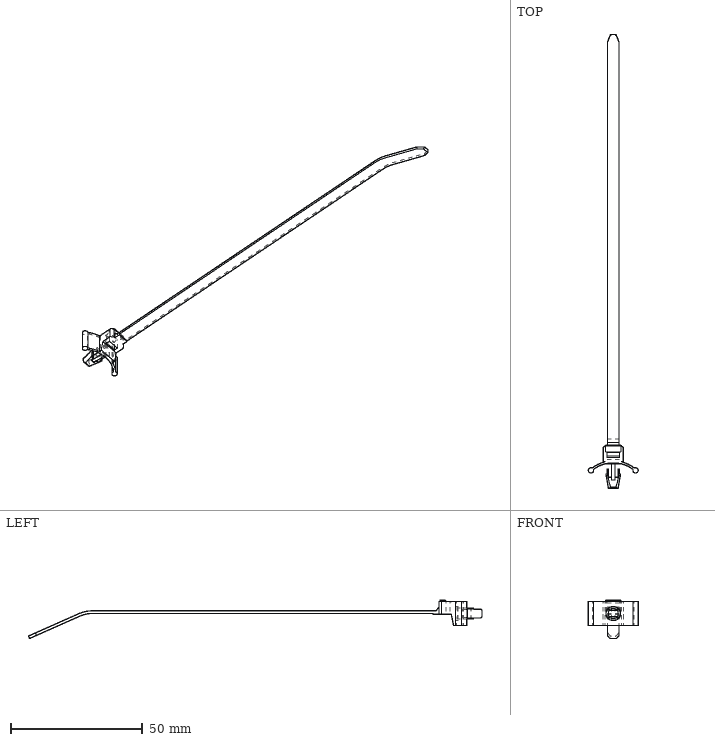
import math

import cadquery as cq


WING_SPAN = 19.05
WING_HEIGHT = 9.2
WING_THICKNESS = 0.8
WING_CURVE_RADIUS = 12.2
BULB_RADIUS = 1.05

HEAD_WIDTH = 7.7
HEAD_BACK = 6.8
HEAD_BOTTOM = -0.3
HEAD_CORNER = 1.1
HEAD_TOP_ROUNDING = 0.5
FOOT_BACK_AT_TOP = 2.1
FOOT_BACK_AT_BOTTOM = 1.2
SLOT_WIDTH = 4.6
SLOT_FRONT = 2.6
SLOT_BACK = 4.0
LEAD_IN = 0.5
RIM_WIDTH = 6.0
RIM_BACK = 6.3
RIM_TOP = 5.1
RIM_ROUNDING = 0.4
RIM_FRONT_ROUNDING = 0.6

STRAP_WIDTH = 4.5
STRAP_THICKNESS = 1.1
STRAP_END = 163.02
BEND_ANGLE = 23.95
BEND_START = 138.6
BEND_LENGTH = 5.2
TIP_TAPER_LENGTH = 3.0
TIP_WIDTH = 2.2
TIP_ROUNDING = 0.6
ROOT_LENGTH = 2.2
ROOT_RISE = 1.4
ROOT_RISE_LENGTH = 1.0

PIN_LENGTH = 9.7
PIN_HEIGHT = 3.4
TIP_CHAMFER = 0.5
NOSE_TIP_RADIUS = 1.9
NOSE_SHOULDER_RADIUS = 2.85
SHOULDER_SETBACK = 5.5
BARB_SETBACK = 7.3
BARB_OUTER = 2.3
BARB_INNER = 1.75
GAP_SETBACK = 4.2
STEM_WIDTH = 1.4
STEM_HEIGHT = 4.2
STEM_SETBACK = 3.2
BOSS_RADIUS = 2.7
BOSS_HEIGHT = 0.45


def box(x_size, y_start, y_end, z_start, z_end):
    """Box centred on X = 0 between the given Y and Z limits."""
    block = cq.Workplane("XY").box(x_size, y_end - y_start, z_end - z_start, centered=(True, False, False))
    return block.translate((0, y_start, z_start))


def make_wings():
    bulb_x = WING_SPAN / 2 - BULB_RADIUS
    middle_radius = WING_CURVE_RADIUS + WING_THICKNESS / 2
    centre_y = -WING_CURVE_RADIUS
    bulb_y = centre_y + math.sqrt(middle_radius**2 - bulb_x**2)
    half_angle = math.asin(bulb_x / middle_radius)

    def arc_point(radius, angle):
        return (radius * math.sin(angle), centre_y + radius * math.cos(angle))

    outer_radius = WING_CURVE_RADIUS + WING_THICKNESS
    wings = (
        cq.Workplane("XY")
        .moveTo(*arc_point(WING_CURVE_RADIUS, -half_angle))
        .threePointArc((0, 0), arc_point(WING_CURVE_RADIUS, half_angle))
        .lineTo(*arc_point(outer_radius, half_angle))
        .threePointArc((0, WING_THICKNESS), arc_point(outer_radius, -half_angle))
        .close()
        .extrude(WING_HEIGHT / 2, both=True)
    )
    bulbs = (
        cq.Workplane("XY")
        .pushPoints([(-bulb_x, bulb_y), (bulb_x, bulb_y)])
        .circle(BULB_RADIUS)
        .extrude(WING_HEIGHT / 2, both=True)
    )
    return wings.union(bulbs)


def make_head():
    head_front = WING_THICKNESS / 2
    head_top = WING_HEIGHT / 2
    body = box(HEAD_WIDTH, head_front, HEAD_BACK, HEAD_BOTTOM, head_top)
    body = body.edges("|Z and >Y").chamfer(HEAD_CORNER)
    body = body.edges("|Y and >Z").fillet(HEAD_TOP_ROUNDING)
    foot_outline = [
        (head_front, -head_top),
        (FOOT_BACK_AT_BOTTOM, -head_top),
        (FOOT_BACK_AT_TOP, HEAD_BOTTOM),
        (head_front, HEAD_BOTTOM),
    ]
    foot = cq.Workplane("YZ").polyline(foot_outline).close().extrude(HEAD_WIDTH / 2, both=True)
    rim = box(RIM_WIDTH, SLOT_BACK, RIM_BACK, 0, RIM_TOP)
    rim = rim.edges("|Y and >Z").fillet(RIM_ROUNDING)
    rim = rim.edges("|X and >Z and <Y").fillet(RIM_FRONT_ROUNDING)
    slot = box(SLOT_WIDTH, SLOT_FRONT, SLOT_BACK, HEAD_BOTTOM, RIM_TOP)
    lead_in_outline = [
        (SLOT_FRONT, head_top - LEAD_IN),
        (SLOT_FRONT - LEAD_IN, head_top),
        (SLOT_FRONT, head_top),
    ]
    lead_in = cq.Workplane("YZ").polyline(lead_in_outline).close().extrude(SLOT_WIDTH / 2, both=True)
    return body.union(foot).union(rim).cut(slot).cut(lead_in)


def make_strap():
    angle = math.radians(BEND_ANGLE)
    top_radius = BEND_LENGTH / math.sin(angle)
    bottom_radius = top_radius - STRAP_THICKNESS
    centre_z = STRAP_THICKNESS - top_radius
    strap_start = SLOT_BACK

    def bend_point(radius, at):
        return (BEND_START + radius * math.sin(at), centre_z + radius * math.cos(at))

    bend_end_y, bend_end_z = bend_point(top_radius, angle)
    end_z = bend_end_z - (STRAP_END - bend_end_y) * math.tan(angle)
    end_bottom = (
        STRAP_END - STRAP_THICKNESS * math.sin(angle),
        end_z - STRAP_THICKNESS * math.cos(angle),
    )
    side = (
        cq.Workplane("YZ")
        .moveTo(strap_start, 0)
        .lineTo(strap_start, STRAP_THICKNESS)
        .lineTo(BEND_START, STRAP_THICKNESS)
        .threePointArc(bend_point(top_radius, angle / 2), (bend_end_y, bend_end_z))
        .lineTo(STRAP_END, end_z)
        .lineTo(*end_bottom)
        .lineTo(*bend_point(bottom_radius, angle))
        .threePointArc(bend_point(bottom_radius, angle / 2), (BEND_START, 0))
        .close()
        .extrude(STRAP_WIDTH / 2, both=True)
    )
    taper_start = STRAP_END - TIP_TAPER_LENGTH
    plan_outline = [
        (-STRAP_WIDTH / 2, strap_start),
        (STRAP_WIDTH / 2, strap_start),
        (STRAP_WIDTH / 2, taper_start),
        (TIP_WIDTH / 2, STRAP_END),
        (-TIP_WIDTH / 2, STRAP_END),
        (-STRAP_WIDTH / 2, taper_start),
    ]
    plan = cq.Workplane("XY").polyline(plan_outline).close().extrude(WING_SPAN, both=True)
    plan = plan.edges("|Z and >Y").fillet(TIP_ROUNDING)
    return side.intersect(plan)


def make_strap_root():
    """Thickened start of the strap, with a ramp up to the back of the head."""
    outline = [
        (SLOT_BACK, HEAD_BOTTOM),
        (HEAD_BACK + ROOT_LENGTH, HEAD_BOTTOM),
        (HEAD_BACK + ROOT_LENGTH, STRAP_THICKNESS),
        (HEAD_BACK + ROOT_RISE_LENGTH, STRAP_THICKNESS),
        (HEAD_BACK, STRAP_THICKNESS + ROOT_RISE),
        (SLOT_BACK, STRAP_THICKNESS + ROOT_RISE),
    ]
    return cq.Workplane("YZ").polyline(outline).close().extrude(STRAP_WIDTH / 2, both=True)


def make_pin():
    tip_y = -PIN_LENGTH
    shoulder_y = tip_y + SHOULDER_SETBACK
    barb_y = tip_y + BARB_SETBACK
    profile = [
        (0, tip_y),
        (NOSE_TIP_RADIUS, tip_y),
        (NOSE_SHOULDER_RADIUS, shoulder_y),
        (BARB_OUTER, shoulder_y),
        (BARB_OUTER, barb_y),
        (0, barb_y),
    ]
    nose = cq.Workplane("XY").polyline(profile).close().revolve(360, (0, 0, 0), (0, 1, 0))
    flats = box(WING_SPAN, tip_y, 0, -PIN_HEIGHT / 2, PIN_HEIGHT / 2)
    flats = flats.edges("|X and <Y").chamfer(TIP_CHAMFER)
    gap = box(2 * BARB_INNER, tip_y + GAP_SETBACK, 0, -PIN_HEIGHT, PIN_HEIGHT)
    stem = box(STEM_WIDTH, tip_y + STEM_SETBACK, WING_THICKNESS / 2, -STEM_HEIGHT / 2, STEM_HEIGHT / 2)
    boss_length = BOSS_HEIGHT + WING_THICKNESS / 2
    boss = cq.Workplane("XZ", origin=(0, WING_THICKNESS / 2, 0)).circle(BOSS_RADIUS).extrude(boss_length)
    return nose.intersect(flats).cut(gap).union(stem).union(boss)


result = make_wings().union(make_head()).union(make_strap()).union(make_strap_root()).union(make_pin())